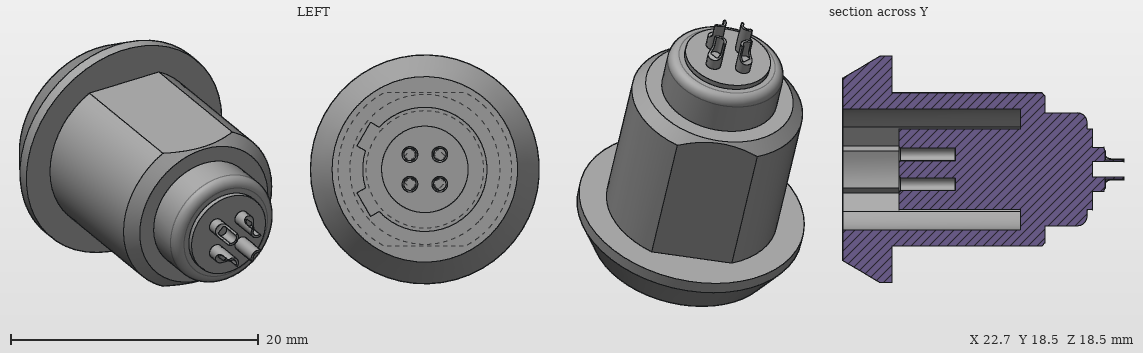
import cadquery as cq
import math

total_length = 22.7

flange_diameter = 18.5
flange_radius = flange_diameter / 2
front_face_radius = 7.5
cone_length = 3.0
flange_length = 4.0

body_radius = 7.01
body_end = 16.35
body_chamfer = 0.95
flat_half_distance = 6.2

barrel_radius = 4.75
barrel_end = 19.75
barrel_fillet = 0.8

bore_radius = 5.02
socket_floor_thickness = 2.0
bore_depth = body_end - socket_floor_thickness
keyway_width = 2.2
keyway_reach = 5.7
keyway_angle = 30.0

insert_radius = 3.5
insert_front = 4.55
insert_rear = 20.18

contact_offset = 1.2
contact_hole_radius = 0.5
contact_hole_depth = 4.55
contact_hole_chamfer = 0.14

pin_diameter = 1.2
pin_radius = pin_diameter / 2
cup_radius = 0.4
cup_depth = 1.5
scoop_start = 21.09
scoop_below_axis = 0.11

clearance = 0.23


def x_cylinder(radius, x_start, x_end, y=0.0, z=0.0):
    """Cylinder parallel to X between two X positions."""
    start = cq.Vector(x_start, y, z)
    return cq.Workplane(cq.Solid.makeCylinder(radius, x_end - x_start, start, cq.Vector(1, 0, 0)))


def make_flange():
    profile = [
        (0, 0),
        (0, front_face_radius),
        (cone_length, flange_radius),
        (flange_length, flange_radius),
        (flange_length, 0),
    ]
    return cq.Workplane("XY").polyline(profile).close().revolve(360, (0, 0, 0), (1, 0, 0))


def make_body():
    body = x_cylinder(body_radius, 0, body_end).faces(">X").chamfer(body_chamfer)
    between_flats = cq.Workplane("XY").box(
        body_end, 2 * body_radius, 2 * flat_half_distance, centered=(False, True, True)
    )
    return body.intersect(between_flats)


def make_barrel():
    return x_cylinder(barrel_radius, bore_depth, barrel_end).faces(">X").edges().fillet(barrel_fillet)


def make_socket():
    """Bore and keyways to be removed from the shell."""
    socket = x_cylinder(bore_radius, 0, bore_depth)
    for angle in (-keyway_angle, keyway_angle):
        keyway = cq.Workplane("XY").box(
            bore_depth, keyway_reach, keyway_width, centered=(False, False, True)
        )
        socket = socket.union(keyway.rotate((0, 0, 0), (1, 0, 0), angle))
    return socket


def make_contact_hole(y, z):
    """Blind hole in the insert front face with a chamfered mouth."""
    mouth_radius = contact_hole_radius + contact_hole_chamfer
    hole = x_cylinder(contact_hole_radius, insert_front, insert_front + contact_hole_depth, y, z)
    mouth = cq.Solid.makeCone(
        mouth_radius,
        contact_hole_radius,
        contact_hole_chamfer,
        cq.Vector(insert_front, y, z),
        cq.Vector(1, 0, 0),
    )
    return hole.union(cq.Workplane(mouth))


def make_solder_cup(y, z):
    """Hollow pin whose outer side, away from the part axis, is scooped open."""
    pin = x_cylinder(pin_radius, insert_rear - clearance, total_length)
    pin = pin.cut(x_cylinder(cup_radius, total_length - cup_depth, total_length))
    scoop_radius = pin_radius + scoop_below_axis
    arc_reach = scoop_radius * math.sin(math.radians(45))
    arc_center_x = scoop_start + scoop_radius
    scoop = (
        cq.Workplane("XY")
        .moveTo(scoop_start, pin_radius)
        .threePointArc(
            (arc_center_x - arc_reach, pin_radius - arc_reach),
            (arc_center_x, -scoop_below_axis),
        )
        .lineTo(total_length + clearance, -scoop_below_axis)
        .lineTo(total_length + clearance, pin_radius + clearance)
        .lineTo(scoop_start, pin_radius + clearance)
        .close()
        .extrude(pin_radius + clearance, both=True)
    )
    outward_angle = math.degrees(math.atan2(z, y))
    return pin.cut(scoop).rotate((0, 0, 0), (1, 0, 0), outward_angle).translate((0, y, z))


shell = make_flange().union(make_body()).union(make_barrel()).cut(make_socket())

result = shell.union(x_cylinder(insert_radius, insert_front, insert_rear))
for y_side in (-1, 1):
    for z_side in (-1, 1):
        contact_y = y_side * contact_offset
        contact_z = z_side * contact_offset
        result = result.cut(make_contact_hole(contact_y, contact_z))
        result = result.union(make_solder_cup(contact_y, contact_z))